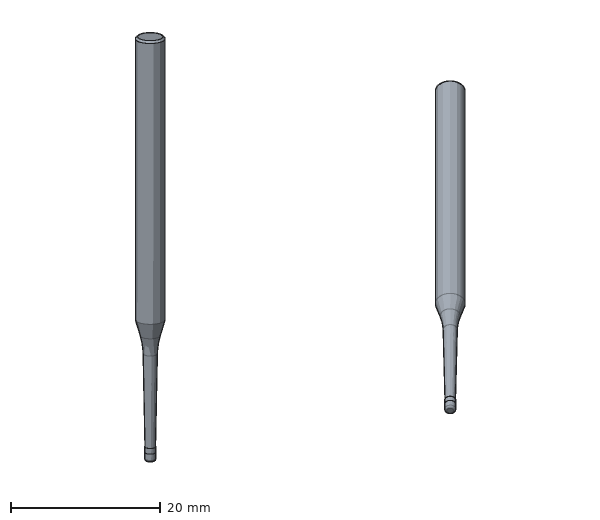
import cadquery as cq
import math


total_length = 60.0
shank_radius = 4.0 / 2
shank_bottom_z = 20.0
top_chamfer = 0.3

tip_radius = 1.5 / 2
tip_corner_radius = 0.3
tip_length = 1.2
collar_top_z = 2.0

neck_bottom_radius = 1.45 / 2
neck_half_angle = math.radians(1.1)
shoulder_half_angle = math.radians(16.0)
blend_radius = 10.0


def blend_points():
    """Start, middle and end (radius, z) of the arc tangent to the neck and the shoulder cone."""
    neck_slope = math.tan(neck_half_angle)
    shoulder_slope = math.tan(shoulder_half_angle)

    radius_gap = shank_radius - neck_bottom_radius
    height_gap = shank_bottom_z - collar_top_z
    rise = (shoulder_slope * height_gap - radius_gap) / (shoulder_slope - neck_slope)
    corner_radius = neck_bottom_radius + neck_slope * rise
    corner_z = collar_top_z + rise

    tangent_length = blend_radius * math.tan((shoulder_half_angle - neck_half_angle) / 2)
    start_radius = corner_radius - tangent_length * math.sin(neck_half_angle)
    start_z = corner_z - tangent_length * math.cos(neck_half_angle)
    center_radius = start_radius + blend_radius * math.cos(neck_half_angle)
    center_z = start_z - blend_radius * math.sin(neck_half_angle)

    def arc_point(angle):
        return (
            center_radius - blend_radius * math.cos(angle),
            center_z + blend_radius * math.sin(angle),
        )

    middle_angle = (neck_half_angle + shoulder_half_angle) / 2
    return arc_point(neck_half_angle), arc_point(middle_angle), arc_point(shoulder_half_angle)


def make_cutting_tip():
    """Cylinder with a rounded bottom edge."""
    return (
        cq.Workplane("XY")
        .circle(tip_radius)
        .extrude(tip_length)
        .faces("<Z")
        .edges()
        .fillet(tip_corner_radius)
    )


def make_shank():
    """Revolved collar, tapered neck, shoulder and chamfered shank."""
    blend_start, blend_middle, blend_end = blend_points()
    return (
        cq.Workplane("XZ")
        .moveTo(0, tip_length)
        .lineTo(tip_radius, tip_length)
        .lineTo(tip_radius, collar_top_z)
        .lineTo(neck_bottom_radius, collar_top_z)
        .lineTo(*blend_start)
        .threePointArc(blend_middle, blend_end)
        .lineTo(shank_radius, shank_bottom_z)
        .lineTo(shank_radius, total_length - top_chamfer)
        .lineTo(shank_radius - top_chamfer, total_length)
        .lineTo(0, total_length)
        .close()
        .revolve(360, (0, 0, 0), (0, 1, 0))
    )


cutting_tip = make_cutting_tip()
shank = make_shank()

result = cq.Compound.makeCompound([cutting_tip.val(), shank.val()])